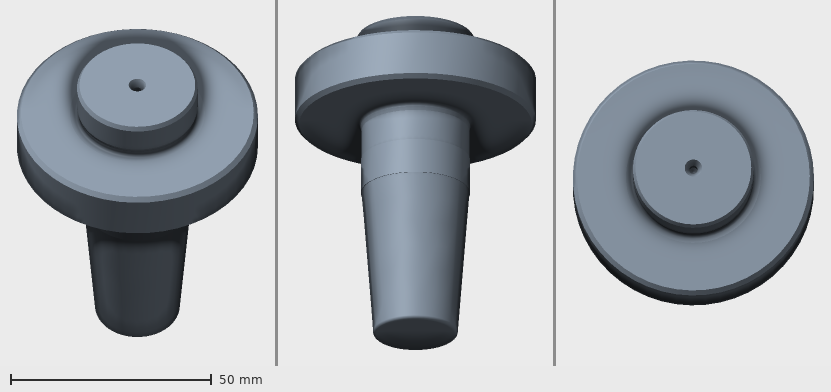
import cadquery as cq
import math

total_height = 80.0
head_height = 10.0
flange_thickness = 13.0
flange_top = total_height - head_height
flange_bottom = flange_top - flange_thickness
seat_top = 47.1
seat_bottom = 38.2

head_radius = 15.0
flange_radius = 30.0
collar_radius = 13.7
shank_radius = 13.4
seat_radius = 13.6
taper_top_radius = 13.4
tip_radius = 10.6

edge_chamfer = 1.0
head_chamfer_width = 0.6
collar_fillet = 1.0

relief_neck_radius = 14.7
relief_start = total_height - 7.5
relief_neck_top = relief_start - 1.0
relief_face_radius = 16.8
relief_face_slope = 8.0
relief_fillet = 0.8

collar_cone_bottom = flange_bottom - 1.9
tip_round = 0.9

centre_mouth_radius = 2.2
centre_pilot_radius = 1.0
centre_cone_half_angle = 30.0
centre_pilot_length = 2.0
centre_tip_half_angle = 59.0


def cone_depth(radius_change, half_angle):
    """Axial length of a cone with the given change of radius."""
    return radius_change / math.tan(math.radians(half_angle))


def arc_point(centre, radius, angle):
    """Point on an arc at the given angle in degrees."""
    return (
        centre[0] + radius * math.cos(math.radians(angle)),
        centre[1] + radius * math.sin(math.radians(angle)),
    )


def revolve_profile(profile):
    """Close a radius-height profile and revolve it about the Z axis."""
    return profile.close().revolve(360, (0, 0), (0, 1))


def turned_body():
    slope = math.radians(relief_face_slope)
    relief_centre_radius = relief_neck_radius + relief_fillet
    face_drop = (relief_face_radius - relief_centre_radius) * math.tan(slope)
    relief_centre = (
        relief_centre_radius,
        flange_top - face_drop + relief_fillet / math.cos(slope),
    )
    relief_arc_end = 270 + relief_face_slope
    relief_arc_middle = (180 + relief_arc_end) / 2
    collar_centre = (collar_radius + collar_fillet, flange_bottom - collar_fillet)
    tip_centre = (tip_radius - tip_round, tip_round)
    profile = (
        cq.Workplane("XZ")
        .moveTo(0, total_height)
        .lineTo(head_radius - head_chamfer_width, total_height)
        .lineTo(head_radius, total_height - edge_chamfer)
        .lineTo(head_radius, relief_start)
        .lineTo(relief_neck_radius, relief_neck_top)
        .lineTo(relief_neck_radius, relief_centre[1])
        .threePointArc(
            arc_point(relief_centre, relief_fillet, relief_arc_middle),
            arc_point(relief_centre, relief_fillet, relief_arc_end),
        )
        .lineTo(relief_face_radius, flange_top)
        .lineTo(flange_radius - edge_chamfer, flange_top)
        .lineTo(flange_radius, flange_top - edge_chamfer)
        .lineTo(flange_radius, flange_bottom + edge_chamfer)
        .lineTo(flange_radius - edge_chamfer, flange_bottom)
        .lineTo(collar_centre[0], flange_bottom)
        .threePointArc(
            arc_point(collar_centre, collar_fillet, 135),
            (collar_radius, collar_centre[1]),
        )
        .lineTo(shank_radius, collar_cone_bottom)
        .lineTo(shank_radius, seat_top)
        .lineTo(seat_radius, seat_top)
        .lineTo(seat_radius, seat_bottom)
        .lineTo(taper_top_radius, seat_bottom)
        .lineTo(tip_radius, tip_round)
        .threePointArc(
            arc_point(tip_centre, tip_round, 315),
            (tip_centre[0], 0),
        )
        .lineTo(0, 0)
    )
    return revolve_profile(profile)


def centre_hole():
    cone_bottom = total_height - cone_depth(
        centre_mouth_radius - centre_pilot_radius, centre_cone_half_angle
    )
    pilot_bottom = cone_bottom - centre_pilot_length
    tip = pilot_bottom - cone_depth(centre_pilot_radius, centre_tip_half_angle)
    profile = (
        cq.Workplane("XZ")
        .moveTo(0, total_height)
        .lineTo(centre_mouth_radius, total_height)
        .lineTo(centre_pilot_radius, cone_bottom)
        .lineTo(centre_pilot_radius, pilot_bottom)
        .lineTo(0, tip)
    )
    return revolve_profile(profile)


result = turned_body().cut(centre_hole())